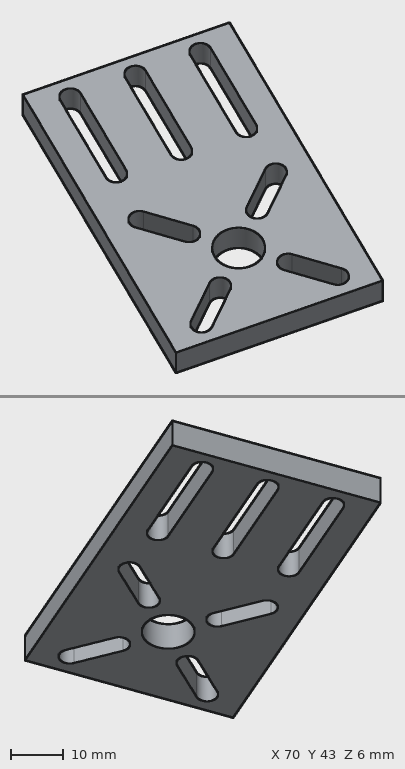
import cadquery as cq

LENGTH = 70.0
WIDTH = 43.0
THICKNESS = 6.0

SLOT_WIDTH = 4.2

ROW_COUNT = 3
ROW_SPACING = 13.5
ROW_SLOT_LENGTH = 25.05
ROW_EDGE_GAP = 2.2

HUB_X = 16.4
HUB_DIAMETER = 10.0
DIAGONAL_START = 10.0
DIAGONAL_END = 20.0
DIAGONAL_ANGLES = (45, 135, 225, 315)


def make_plate():
    return cq.Workplane("XY").box(LENGTH, WIDTH, THICKNESS, centered=(True, True, False))


def make_row_slots():
    """Cutters for the parallel slots beside the -X edge."""
    slot_x = -LENGTH / 2 + ROW_EDGE_GAP + ROW_SLOT_LENGTH / 2
    return (
        cq.Workplane("XY")
        .center(slot_x, 0)
        .rarray(0.7, ROW_SPACING, 1, ROW_COUNT)
        .slot2D(ROW_SLOT_LENGTH, SLOT_WIDTH)
        .extrude(THICKNESS)
    )


def make_hub_hole():
    return cq.Workplane("XY").center(HUB_X, 0).circle(HUB_DIAMETER / 2).extrude(THICKNESS)


def make_diagonal_slot(angle):
    """Cutter for one slot pointing away from the hub axis at the given angle."""
    middle = (DIAGONAL_START + DIAGONAL_END) / 2
    slot_length = DIAGONAL_END - DIAGONAL_START + SLOT_WIDTH
    return (
        cq.Workplane("XY")
        .center(middle, 0)
        .slot2D(slot_length, SLOT_WIDTH)
        .extrude(THICKNESS)
        .rotate((0, 0, 0), (0, 0, 1), angle)
        .translate((HUB_X, 0, 0))
    )


result = make_plate().cut(make_row_slots()).cut(make_hub_hole())
for slot_angle in DIAGONAL_ANGLES:
    result = result.cut(make_diagonal_slot(slot_angle))